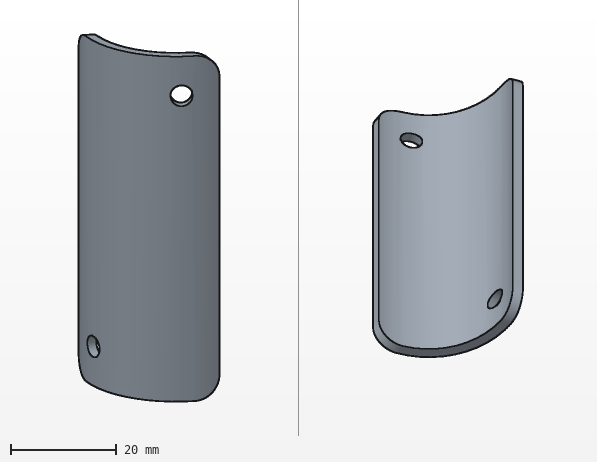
import cadquery as cq
import math

length = 70.0
width = 30.0
outer_radius = 18.8
thickness = 2.0
corner_radius = 5.0

hole_diameter = 4.2
hole_angle = 30.0
hole_end_gap = 8.0

inner_radius = outer_radius - thickness
half_angle = math.degrees(math.asin(width / 2 / outer_radius))


def arc_point(radius, angle):
    """Point on a circle about the tube axis, with the angle in degrees from -Y toward +X."""
    swing = math.radians(angle)
    return (radius * math.sin(swing), -radius * math.cos(swing))


def curved_plate():
    """Arc-shaped section with radial side faces, raised along Z."""
    return (
        cq.Workplane("XY")
        .moveTo(*arc_point(outer_radius, -half_angle))
        .threePointArc(arc_point(outer_radius, 0), arc_point(outer_radius, half_angle))
        .lineTo(*arc_point(inner_radius, half_angle))
        .threePointArc(arc_point(inner_radius, 0), arc_point(inner_radius, -half_angle))
        .close()
        .extrude(length)
    )


def round_corners(plate):
    """Round the four corners, whose edges are the only straight ones on the end faces."""
    return plate.faces("<Z or >Z").edges("%LINE").fillet(corner_radius)


def radial_hole(angle, height):
    """Cutter running from the tube axis outward through the wall."""
    direction = cq.Vector(*arc_point(1, angle), 0)
    start = cq.Vector(0, 0, height)
    return cq.Solid.makeCylinder(hole_diameter / 2, 2 * outer_radius, start, direction)


result = round_corners(curved_plate())
for angle, height in ((-hole_angle, hole_end_gap), (hole_angle, length - hole_end_gap)):
    result = result.cut(cq.Workplane(radial_hole(angle, height)))